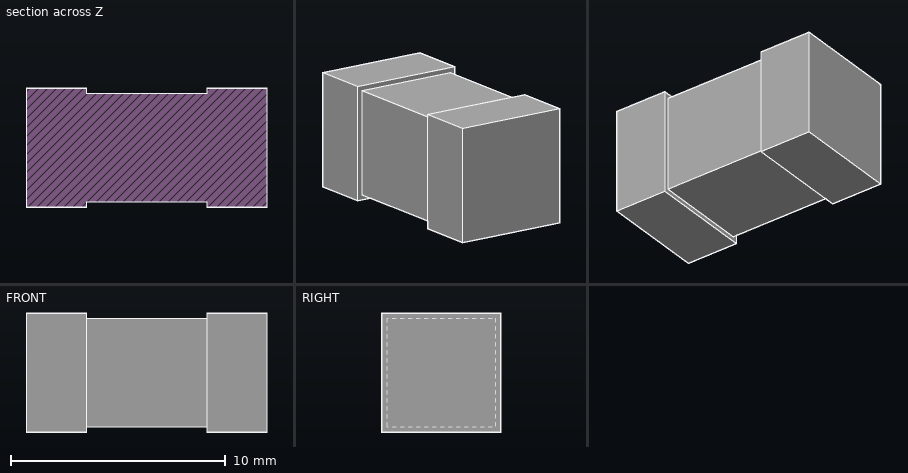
import cadquery as cq

total_length = 11.2
cap_side = 5.55
cap_length = 2.8
step_depth = 0.25

body_side = cap_side - 2 * step_depth
cap_center = (total_length - cap_length) / 2


def end_cap(direction):
    """Square end cap on the -X (-1) or +X (+1) end."""
    cap = cq.Workplane("XY").box(cap_length, cap_side, cap_side)
    return cap.translate((direction * cap_center, 0, 0))


result = cq.Workplane("XY").box(total_length, body_side, body_side)
for direction in (-1, 1):
    result = result.union(end_cap(direction))